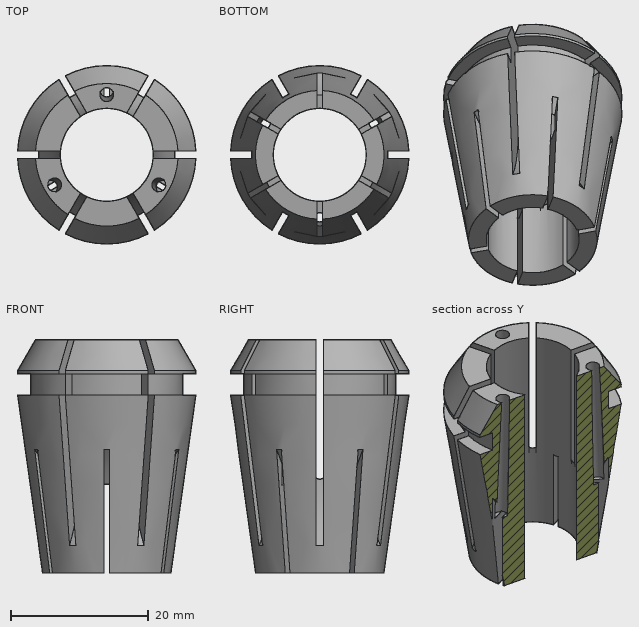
import math

import cadquery as cq

full_turn = 360.0

height = 34.0
bore_radius = 6.75
taper_large_radius = 13.0
taper_angle = 8.0
groove_bottom = 25.9
groove_top = 29.0
neck_radius = 11.1
rim_radius = 12.98
rim_thickness = 0.5
nose_angle = 30.0

slots_per_end = 6
slot_pitch = full_turn / slots_per_end
top_blade_radius = 25.0
top_slot_width = 1.05
top_slot_outer_height = 4.0
top_slot_root_radius = 6.65
top_slot_root_height = 14.8
bottom_blade_radius = 20.0
bottom_slot_width = 0.8
bottom_slot_outer_height = 18.0
bottom_slot_root_radius = 8.7
bottom_slot_root_height = 12.9

hole_count = 3
hole_radius = 1.0
hole_center_radius = 8.75
hole_depth = 21.2
hole_tilt = 1.9
first_hole_angle = 90.0

clearance = 2.0


def taper_radius(z):
    """Outer radius of the tapered body at height z."""
    return taper_large_radius - (groove_bottom - z) * math.tan(math.radians(taper_angle))


def make_body():
    """Revolved collet: long taper, clamping groove, rim and conical nose, with a plain bore."""
    rim_top = groove_top + rim_thickness
    nose_radius = rim_radius - (height - rim_top) * math.tan(math.radians(nose_angle))
    profile = [
        (bore_radius, 0),
        (taper_radius(0), 0),
        (taper_large_radius, groove_bottom),
        (neck_radius, groove_bottom),
        (neck_radius, groove_top),
        (rim_radius, groove_top),
        (rim_radius, rim_top),
        (nose_radius, height),
        (bore_radius, height),
    ]
    return cq.Workplane("XZ").polyline(profile).close().revolve(full_turn, (0, 0), (0, 1))


def blade_center(blade_radius, outer_height, root_radius, root_height):
    """Blade centre, as (radius, z), for a cut running from the taper to the root point."""
    outer_radius = taper_radius(outer_height)
    run = outer_radius - root_radius
    rise = root_height - outer_height
    chord = math.hypot(run, rise)
    offset = math.sqrt(blade_radius**2 - (chord / 2) ** 2)
    center_radius = (outer_radius + root_radius) / 2 + offset * abs(rise) / chord
    center_height = (outer_height + root_height) / 2 + offset * math.copysign(run, rise) / chord
    return center_radius, center_height


def make_slot(width, blade_radius, outer_height, root_radius, root_height, open_end):
    """Slot cutter along +X, reaching from the curved run-out past the open end of the body."""
    center_radius, center_height = blade_center(blade_radius, outer_height, root_radius, root_height)
    outside_radius = taper_large_radius + clearance
    inside_radius = bore_radius - clearance
    drop = math.sqrt(blade_radius**2 - (center_radius - outside_radius) ** 2)
    outside_height = center_height - math.copysign(drop, root_height - outer_height)
    return (
        cq.Workplane("XZ")
        .moveTo(outside_radius, outside_height)
        .threePointArc((taper_radius(outer_height), outer_height), (root_radius, root_height))
        .lineTo(inside_radius, root_height)
        .lineTo(inside_radius, open_end)
        .lineTo(outside_radius, open_end)
        .close()
        .extrude(width / 2, both=True)
    )


def make_hole():
    """Hole cutter on the +X side, leaning outward as it goes down."""
    tilt = math.radians(hole_tilt)
    direction = cq.Vector(math.sin(tilt), 0, -math.cos(tilt))
    mouth = cq.Vector(hole_center_radius, 0, height)
    start = mouth - direction * clearance
    return cq.Workplane(cq.Solid.makeCylinder(hole_radius, hole_depth + clearance, start, direction))


def cut_around(body, cutter, count, first_angle):
    """Cut equally spaced copies of the cutter around the Z axis."""
    pitch = full_turn / count
    for i in range(count):
        body = body.cut(cutter.rotate((0, 0, 0), (0, 0, 1), first_angle + i * pitch))
    return body


top_slot = make_slot(
    top_slot_width,
    top_blade_radius,
    top_slot_outer_height,
    top_slot_root_radius,
    top_slot_root_height,
    height + clearance,
)
bottom_slot = make_slot(
    bottom_slot_width,
    bottom_blade_radius,
    bottom_slot_outer_height,
    bottom_slot_root_radius,
    bottom_slot_root_height,
    -clearance,
)

result = make_body()
result = cut_around(result, top_slot, slots_per_end, 0)
result = cut_around(result, bottom_slot, slots_per_end, slot_pitch / 2)
result = cut_around(result, make_hole(), hole_count, first_hole_angle)